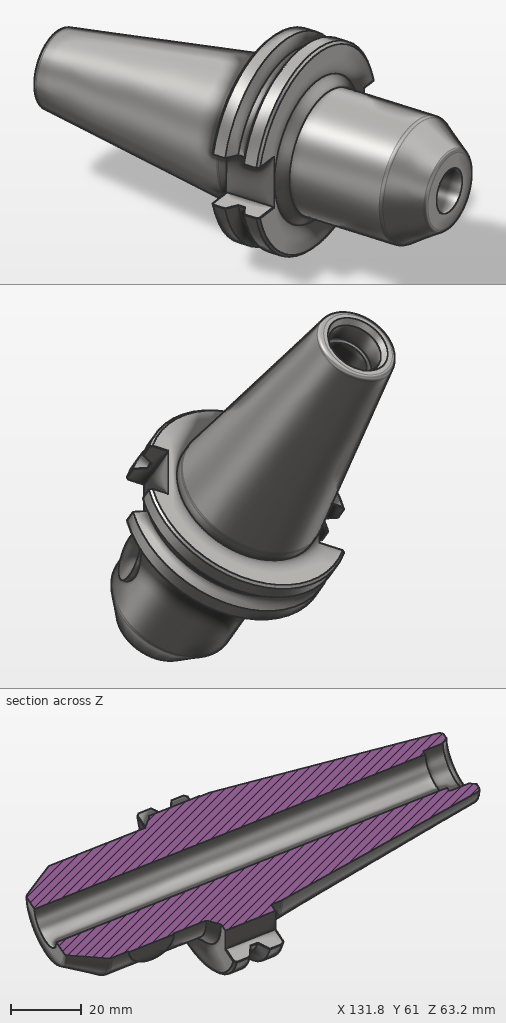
import cadquery as cq
import math

total_length = 131.8
taper_end = 68.4
flange_start = 71.6
flange_end = 87.5
shoulder_end = 90.6
nose_start = 121.0

small_end_radius = 12.0
collar_radius = 44.4 / 2
flange_radius = 31.6
shank_radius = 38.1 / 2
nose_radius = 12.1

small_end_fillet = 1.5
collar_bend_fillet = 4.0
flange_chamfer = 0.8
nose_bend_fillet = 2.0
nose_tip_fillet = 1.3
bend_tolerance = 0.1

groove_center = 79.5
groove_floor_radius = 28.2
groove_floor_width = 2.1
groove_mouth_width = 6.3

slot_width = 16.1
slot_edge_break = 0.2
slot_floor_front = 22.4
slot_floor_back = 24.8

bore_diameter = 13.5
counterbore_diameter = 16.2
counterbore_depth = 8.0
mouth_diameter = 18.7
mouth_angle = 35.0

screw_diameter = 14.2
screw_position = 108.1
screw_top = 19.4


def revolve_about_x(points):
    """Solid of revolution from (x, radius) points."""
    return cq.Workplane("XY").polyline(points).close().revolve(360, (0, 0, 0), (1, 0, 0))


def round_bend(body, station, radius):
    """Fillet the circular edge of a revolved body at an X station."""
    bend = cq.selectors.BoxSelector(
        (station - bend_tolerance, -flange_radius, -flange_radius),
        (station + bend_tolerance, flange_radius, flange_radius),
        boundingbox=True,
    )
    return body.edges(bend).fillet(radius)


def make_taper():
    taper = revolve_about_x([
        (0, 0),
        (0, small_end_radius),
        (taper_end, collar_radius),
        (flange_start, collar_radius),
        (flange_start, 0),
    ])
    taper = round_bend(taper, taper_end, collar_bend_fillet)
    return taper.faces("<X").edges().fillet(small_end_fillet)


def make_flange():
    flange = (
        cq.Workplane("YZ", origin=(flange_start, 0, 0))
        .circle(flange_radius)
        .extrude(flange_end - flange_start)
        .edges()
        .chamfer(flange_chamfer)
    )
    groove = revolve_about_x([
        (groove_center - groove_mouth_width / 2, flange_radius),
        (groove_center - groove_floor_width / 2, groove_floor_radius),
        (groove_center + groove_floor_width / 2, groove_floor_radius),
        (groove_center + groove_mouth_width / 2, flange_radius),
    ])
    return flange.cut(groove)


def make_drive_slot(floor, side):
    """Cutter for one slot; side is +1 for +Y and -1 for -Y."""
    length = flange_end - flange_start
    depth = flange_radius - floor
    center = ((flange_start + flange_end) / 2, side * (floor + depth / 2), 0)
    return cq.Workplane("XY").box(length, depth, slot_width).translate(center)


def break_slot_edges(flange):
    """Chamfer the slot walls all round, except where they meet the slot floor."""
    slot_walls = flange.faces("|Z").vals()
    rim_edges = []
    for wall in slot_walls:
        floor_edge = min(wall.Edges(), key=lambda edge: abs(edge.Center().y))
        rim_edges += [edge for edge in wall.Edges() if not edge.isSame(floor_edge)]
    return flange.newObject(rim_edges).chamfer(slot_edge_break)


def make_shank():
    shank = revolve_about_x([
        (flange_end, 0),
        (flange_end, collar_radius),
        (shoulder_end, shank_radius),
        (nose_start, shank_radius),
        (total_length, nose_radius),
        (total_length, 0),
    ])
    shank = round_bend(shank, nose_start, nose_bend_fillet)
    return shank.faces(">X").edges().fillet(nose_tip_fillet)


def make_bore():
    mouth_step = (mouth_diameter - counterbore_diameter) / 2
    mouth_depth = mouth_step / math.tan(math.radians(mouth_angle))
    return revolve_about_x([
        (0, 0),
        (0, mouth_diameter / 2),
        (mouth_depth, counterbore_diameter / 2),
        (counterbore_depth, counterbore_diameter / 2),
        (counterbore_depth, bore_diameter / 2),
        (total_length, bore_diameter / 2),
        (total_length, 0),
    ])


def make_screw():
    """Clamping screw from the bore wall out to its flat top on the +Y side."""
    return (
        cq.Workplane("XZ", origin=(screw_position, bore_diameter / 2, 0))
        .circle(screw_diameter / 2)
        .extrude(bore_diameter / 2 - screw_top)
    )


flange = make_flange()
flange = flange.cut(make_drive_slot(slot_floor_front, -1))
flange = flange.cut(make_drive_slot(slot_floor_back, 1))
flange = break_slot_edges(flange)

result = make_taper().union(flange).union(make_shank()).union(make_screw())
result = result.cut(make_bore())